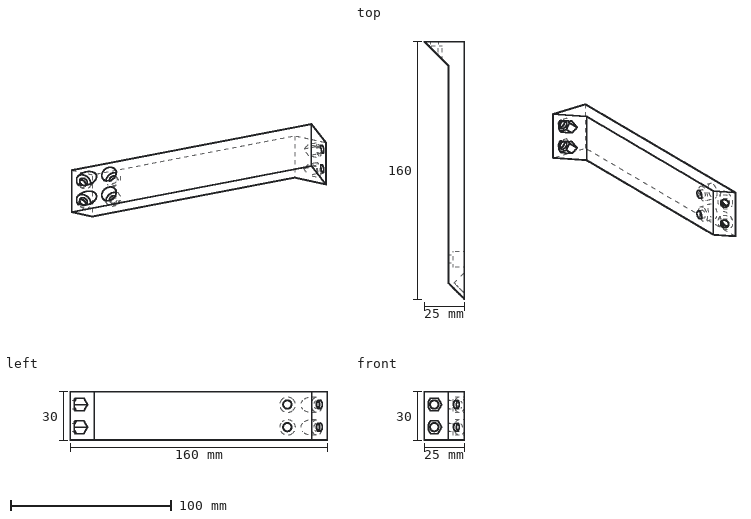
import cadquery as cq
import math

length = 160.0
width = 25.0
height = 30.0
bar_thickness = 10.0

hole_diameter = 5.1
hole_spacing = 14.0
hole_heights = [(height - hole_spacing) / 2, (height + hole_spacing) / 2]
head_hole_x = 6.2
bar_hole_y = 25.0

nut_across_flats = 8.0
nut_across_corners = nut_across_flats / math.cos(math.radians(30))

counterbore_diameter = 9.6

floor_thickness = 2.5

bar_left_x = width - bar_thickness
head_depth = bar_left_x
bevel_middle_x = width - bar_thickness / 2
bevel_middle_y = bar_thickness / 2


def make_body():
    """Bar with a 45 degree bevel at one end and a triangular head at the other."""
    outline = [
        (width, 0),
        (width, length),
        (0, length),
        (bar_left_x, length - head_depth),
        (bar_left_x, bar_thickness),
    ]
    return cq.Workplane("XY").polyline(outline).close().extrude(height)


def make_hole(center, direction):
    """Through-hole cutter extending both ways from its center."""
    plane = cq.Plane(origin=center, normal=direction)
    return cq.Workplane(plane).circle(hole_diameter / 2).extrude(width, both=True)


def make_counterbored_hole(entry, direction):
    """Hole from its entry point that widens beyond the floor thickness."""
    plane = cq.Plane(origin=entry, normal=direction)
    counterbore = (
        cq.Workplane(plane)
        .workplane(offset=floor_thickness)
        .circle(counterbore_diameter / 2)
        .extrude(width)
    )
    return make_hole(entry, direction).union(counterbore)


def make_nut_pocket(z):
    """Hexagonal prism, corners along X, open through the sloping head face."""
    floor = cq.Plane(
        origin=(head_hole_x, length - floor_thickness, z),
        xDir=(1, 0, 0),
        normal=(0, -1, 0),
    )
    return cq.Workplane(floor).polygon(6, nut_across_corners).extrude(head_depth)


result = make_body()
for z in hole_heights:
    result = result.cut(make_hole((head_hole_x, length, z), (0, 1, 0)))
    result = result.cut(make_nut_pocket(z))
    result = result.cut(make_counterbored_hole((bar_left_x, bar_hole_y, z), (1, 0, 0)))
    result = result.cut(make_counterbored_hole((bevel_middle_x, bevel_middle_y, z), (1, 1, 0)))